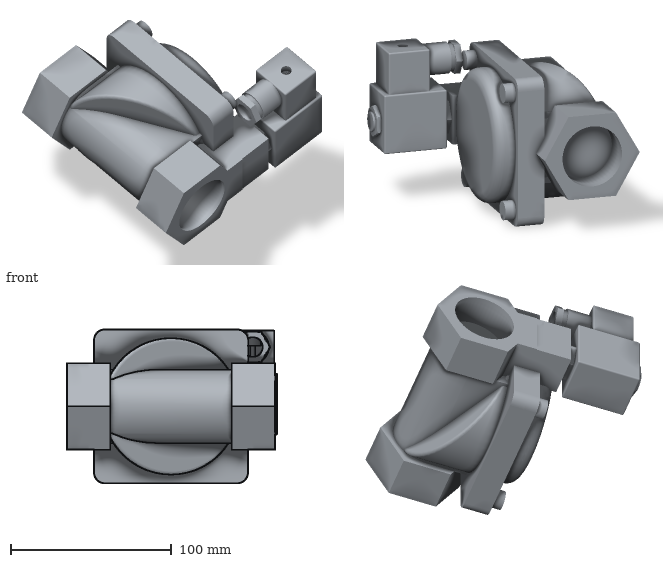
import cadquery as cq
import math


overall_length_y = 138.4

pipe_radius = 23.0
pipe_end = 64.9
hex_flats = 54.0
hex_length = 27.0
bore_diameter = 39.0
bore_depth = 20.0
chamber_radius = 42.5
chamber_slope = 28.0
chamber_floor_y = 3.7
chamber_edge_fillet = 2.0

flange_side = 96.0
flange_corner_radius = 6.9
flange_bottom_y = 25.9
joint_y = 35.0
flange_top_y = 43.2

dome_top_y = 55.8
dome_edge_radius = 6.9
bolt_offset = 38.0
bolt_diameter = 12.2
bolt_top_y = 50.0

coil_axis_x = 50.9
block_depth_z = 31.5
body_block_start_x = pipe_end - hex_length
cover_block_width = 27.1
cover_block_top_y = 57.7

neck_flats = 21.0
coil_width = 30.5
coil_bottom_y = 61.9
coil_top_y = 103.0
coil_low_z = -17.6
coil_high_z = 20.5
case_fillet = 1.0
nut_flats = 18.0
nut_top_y = 105.9
nut_corner_chamfer = 0.8
stem_diameter = 12.3
stem_top_y = overall_length_y - hex_flats / math.sqrt(3)

connector_side = 27.0
connector_y = 85.9
connector_top_z = 47.3
gland_z = 37.0
gland_diameter = 20.0
gland_end_y = 57.1
gland_neck_diameter = 18.0
gland_nut_flats = 18.8
gland_nut_top_y = 54.1
gland_nut_bottom_y = bolt_top_y
cable_bore_diameter = 12.3
cable_bore_end_y = 93.4

screw_boss_diameter = 10.1
screw_boss_low_z = 37.9
screw_hole_diameter = 6.8
screw_head_diameter = 5.5
screw_head_height = 1.7
screw_hole_depth = 5.0
screw_shank_diameter = 3.0
cross_length = 3.0
cross_width = 1.0
cross_depth = 1.0


def hex_corner_diameter(flats):
    return flats / math.cos(math.pi / 6)


def start_at(y, x=0, z=0):
    """Workplane parallel to XZ, centred on the given point."""
    return cq.Workplane("XZ", origin=(x, y, z))


def cylinder_y(diameter, y_low, y_high, x=0, z=0):
    return start_at(y_high, x, z).circle(diameter / 2).extrude(y_high - y_low)


def hexagon_y(flats, y_low, y_high, x=0, z=0, turn=0):
    """Hexagonal prism along Y; its corners point along X unless turned."""
    prism = start_at(y_high, x, z).polygon(6, hex_corner_diameter(flats)).extrude(y_high - y_low)
    return prism.rotate((x, 0, z), (x, 1, z), turn)


def box_between(x_low, x_high, y_low, y_high, z_low, z_high):
    size = (x_high - x_low, y_high - y_low, z_high - z_low)
    return cq.Workplane("XY").box(*size, centered=False).translate((x_low, y_low, z_low))


def flange_plate(y_low, y_high):
    plate = start_at(y_high).rect(flange_side, flange_side).extrude(y_high - y_low)
    return plate.edges("|Y").fillet(flange_corner_radius)


def make_chamber():
    """Round diaphragm chamber, closed by a sloping floor with a rounded edge."""
    slope = math.tan(math.radians(chamber_slope))
    reach = 1.1 * chamber_radius
    keep = (
        cq.Workplane("XY", origin=(0, 0, -reach))
        .moveTo(-reach, chamber_floor_y - reach * slope)
        .lineTo(reach, chamber_floor_y + reach * slope)
        .lineTo(reach, joint_y)
        .lineTo(-reach, joint_y)
        .close()
        .extrude(2 * reach)
    )
    lowest_y = chamber_floor_y - reach * slope
    chamber = cylinder_y(2 * chamber_radius, lowest_y, joint_y).intersect(keep)
    return chamber.faces("<Y").edges().fillet(chamber_edge_fillet)


def make_body():
    half_tube = pipe_end - hex_length
    pipe = cq.Workplane("YZ", origin=(-half_tube, 0, 0)).circle(pipe_radius).extrude(2 * half_tube)
    saddle = box_between(-half_tube, half_tube, 0, flange_bottom_y, -pipe_radius, pipe_radius)
    pilot_block = box_between(
        body_block_start_x, pipe_end, 0, joint_y, -block_depth_z / 2, block_depth_z / 2
    )
    body = make_chamber().union(pipe).union(saddle).union(pilot_block)
    body = body.union(flange_plate(flange_bottom_y, joint_y))
    for inner_x in (-pipe_end, half_tube):
        end_hex = cq.Workplane("YZ", origin=(inner_x, 0, 0))
        body = body.union(end_hex.polygon(6, hex_corner_diameter(hex_flats)).extrude(hex_length))
    for bore_x in (-pipe_end, pipe_end - bore_depth):
        bore = cq.Workplane("YZ", origin=(bore_x, 0, 0)).circle(bore_diameter / 2).extrude(bore_depth)
        body = body.cut(bore)
    return body


def make_cover():
    dome = cylinder_y(2 * chamber_radius, joint_y, dome_top_y).faces(">Y").edges().fillet(dome_edge_radius)
    cover = flange_plate(joint_y, flange_top_y).union(dome)
    pilot_block = box_between(
        coil_axis_x - cover_block_width / 2,
        coil_axis_x + cover_block_width / 2,
        joint_y,
        cover_block_top_y,
        -block_depth_z / 2,
        block_depth_z / 2,
    )
    cover = cover.union(pilot_block)
    for x in (-bolt_offset, bolt_offset):
        for z in (-bolt_offset, bolt_offset):
            cover = cover.union(cylinder_y(bolt_diameter, flange_top_y, bolt_top_y, x, z))
    return cover


def make_coil():
    """Coil case on its hexagonal neck, held by a nut on the stem."""
    case = box_between(
        coil_axis_x - coil_width / 2,
        coil_axis_x + coil_width / 2,
        coil_bottom_y,
        coil_top_y,
        coil_low_z,
        coil_high_z,
    ).edges().fillet(case_fillet)
    neck = hexagon_y(neck_flats, cover_block_top_y, coil_bottom_y, coil_axis_x)
    nut = hexagon_y(nut_flats, coil_top_y, nut_top_y, coil_axis_x, turn=30)
    nut_round = cylinder_y(hex_corner_diameter(nut_flats), coil_top_y, nut_top_y, coil_axis_x)
    nut = nut.intersect(nut_round.faces("<Y or >Y").edges().chamfer(nut_corner_chamfer))
    stem = cylinder_y(stem_diameter, nut_top_y, stem_top_y, coil_axis_x)
    return case.union(neck).union(nut).union(stem)


def make_connector():
    """Connector case with the cable gland and the screw seen inside its bore."""
    case = box_between(
        coil_axis_x - connector_side / 2,
        coil_axis_x + connector_side / 2,
        connector_y - connector_side / 2,
        connector_y + connector_side / 2,
        coil_high_z,
        connector_top_z,
    ).edges("not <Z").fillet(case_fillet)
    gland = cylinder_y(gland_diameter, gland_end_y, connector_y, coil_axis_x, gland_z)
    gland_neck = cylinder_y(gland_neck_diameter, gland_nut_top_y, gland_end_y, coil_axis_x, gland_z)
    gland_nut = hexagon_y(gland_nut_flats, gland_nut_bottom_y, gland_nut_top_y, coil_axis_x, gland_z)
    connector = case.union(gland).union(gland_neck).union(gland_nut)

    cable_bore = cylinder_y(cable_bore_diameter, gland_nut_bottom_y, cable_bore_end_y, coil_axis_x, gland_z)
    boss = cylinder_on_screw_axis(screw_boss_diameter, screw_boss_low_z, connector_top_z)
    shank = cylinder_on_screw_axis(screw_shank_diameter, coil_high_z, screw_boss_low_z)
    connector = connector.cut(cable_bore.cut(boss).cut(shank))

    hole = cylinder_on_screw_axis(screw_hole_diameter, connector_top_z - screw_hole_depth, connector_top_z)
    return connector.cut(hole).union(make_screw_head())


def screw_axis(z):
    return cq.Workplane("XY", origin=(coil_axis_x, connector_y, z))


def cylinder_on_screw_axis(diameter, z_low, z_high):
    return screw_axis(z_low).circle(diameter / 2).extrude(z_high - z_low)


def make_screw_head():
    """Domed screw head with a crossed driver recess."""
    floor_z = connector_top_z - screw_hole_depth
    head_top_z = floor_z + screw_head_height
    head_radius = screw_head_diameter / 2
    sphere_radius = (head_radius**2 + screw_head_height**2) / (2 * screw_head_height)
    head = cylinder_on_screw_axis(screw_head_diameter, floor_z, head_top_z)
    head = head.intersect(screw_axis(head_top_z - sphere_radius).sphere(sphere_radius))
    for angle in (45, 135):
        slot = screw_axis(head_top_z).transformed(rotate=(0, 0, angle)).rect(cross_length, cross_width)
        head = head.cut(slot.extrude(-cross_depth))
    return head


body = make_body()
cover = make_cover()
solenoid = make_coil().union(make_connector())

result = cq.Compound.makeCompound([body.solids().val(), cover.solids().val(), solenoid.solids().val()])